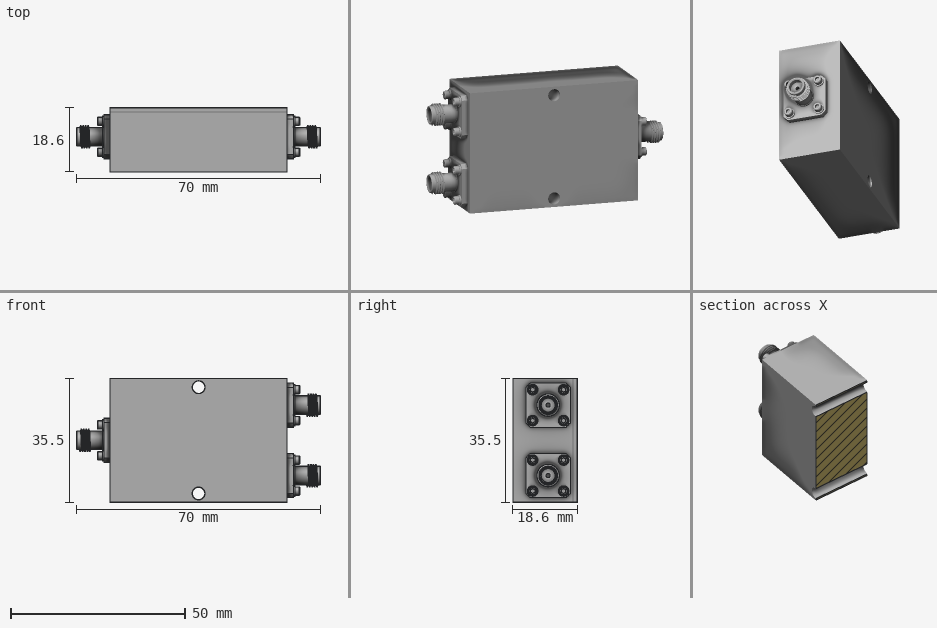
import cadquery as cq

total_length = 69.95
body_length = 50.85
body_depth = 18.55
body_height = 35.5
cover_thickness = 1.3

mount_hole_diameter = 3.6
mount_hole_spacing = 30.5

connector_reach = (total_length - body_length) / 2
mounting_face_to_connector = 10.15
connector_y = mounting_face_to_connector - body_depth / 2
output_spacing = 20.2

flange_size = 12.7
flange_thickness = 1.75
flange_chamfer = 1.25

screw_spacing = 8.9
washer_diameter = 3.0
washer_thickness = 0.4
head_diameter = 2.45
head_height = 1.5
head_chamfer = 0.2
socket_across_corners = 1.4
socket_depth = 0.85

barrel_diameter = 5.4
collar_diameter = 5.6
collar_thickness = 0.4
mouth_diameter = 4.6
bore_diameter = 4.0
mouth_taper = 0.2
bore_depth = 1.75
contact_hole_diameter = 1.2
contact_hole_depth = 1.4
tip_chamfer = 0.15

thread_diameter = 6.45
thread_pitch = 0.7
thread_length = 2.8
thread_start = 1.0
thread_base_width = 0.6
thread_crest_width = 0.15
thread_root_overlap = 0.15


def make_housing():
    """Block and cover plate, keeping the joint line between them."""
    block_depth = body_depth - cover_thickness
    block = cq.Workplane("XY").box(body_length, block_depth, body_height)
    block = block.translate((0, -cover_thickness / 2, 0))
    cover = cq.Workplane("XY").box(body_length, cover_thickness, body_height)
    cover = cover.translate((0, block_depth / 2, 0))
    holes = (
        cq.Workplane("XZ")
        .pushPoints([(0, -mount_hole_spacing / 2), (0, mount_hole_spacing / 2)])
        .circle(mount_hole_diameter / 2)
        .extrude(body_depth, both=True)
    )
    return block.union(cover, clean=False).cut(holes, clean=False)


def make_flange():
    """Square flange with chamfered corners, standing on Z = 0."""
    return (
        cq.Workplane("XY")
        .rect(flange_size, flange_size)
        .extrude(flange_thickness)
        .edges("|Z")
        .chamfer(flange_chamfer)
    )


def make_screw():
    """Washer and hex socket screw head, seated on the flange face."""
    washer = (
        cq.Workplane("XY", origin=(0, 0, flange_thickness))
        .circle(washer_diameter / 2)
        .extrude(washer_thickness)
    )
    head = (
        washer.faces(">Z")
        .workplane()
        .circle(head_diameter / 2)
        .extrude(head_height, combine=False)
        .faces(">Z")
        .chamfer(head_chamfer)
    )
    socket = (
        head.faces(">Z")
        .workplane()
        .polygon(6, socket_across_corners)
        .extrude(-socket_depth, combine=False)
    )
    return washer.union(head).cut(socket)


def make_thread():
    """Helical thread ridge around the barrel."""
    root_radius = barrel_diameter / 2 - thread_root_overlap
    crest_radius = thread_diameter / 2
    helix = cq.Wire.makeHelix(thread_pitch, thread_length, root_radius)
    ridge = (
        cq.Workplane("XZ")
        .moveTo(root_radius, -thread_base_width / 2)
        .lineTo(crest_radius, -thread_crest_width / 2)
        .lineTo(crest_radius, thread_crest_width / 2)
        .lineTo(root_radius, thread_base_width / 2)
        .close()
        .sweep(cq.Workplane(helix), isFrenet=True)
    )
    return ridge.translate((0, 0, connector_reach - thread_start - thread_length))


def make_barrel():
    """Round threaded barrel with a base collar, tapered mouth, blind bore and contact hole."""
    bore_floor = connector_reach - bore_depth
    barrel = (
        cq.Workplane("XY")
        .circle(barrel_diameter / 2)
        .extrude(connector_reach)
        .faces(">Z")
        .chamfer(tip_chamfer)
    )
    cavity = (
        cq.Workplane("XZ")
        .moveTo(0, connector_reach)
        .lineTo(mouth_diameter / 2, connector_reach)
        .lineTo(bore_diameter / 2, connector_reach - mouth_taper)
        .lineTo(bore_diameter / 2, bore_floor)
        .lineTo(contact_hole_diameter / 2, bore_floor)
        .lineTo(contact_hole_diameter / 2, bore_floor - contact_hole_depth)
        .lineTo(0, bore_floor - contact_hole_depth)
        .close()
        .revolve(360, (0, 0, 0), (0, 1, 0))
    )
    collar = (
        cq.Workplane("XY", origin=(0, 0, flange_thickness))
        .circle(collar_diameter / 2)
        .extrude(collar_thickness)
    )
    return barrel.union(collar).union(make_thread()).cut(cavity)


def make_connector():
    """Complete connector pointing along +X from the origin."""
    connector = make_flange().union(make_barrel())
    screw = make_screw()
    for y_side in (-1, 1):
        for x_side in (-1, 1):
            offset = (x_side * screw_spacing / 2, y_side * screw_spacing / 2, 0)
            connector = connector.union(screw.translate(offset))
    return connector.rotate((0, 0, 0), (0, 1, 0), 90)


connector = make_connector()
input_connector = connector.rotate((0, 0, 0), (0, 0, 1), 180)

result = make_housing()
result = result.union(input_connector.translate((-body_length / 2, connector_y, 0)), clean=False)
for z_side in (-1, 1):
    output_position = (body_length / 2, connector_y, z_side * output_spacing / 2)
    result = result.union(connector.translate(output_position), clean=False)